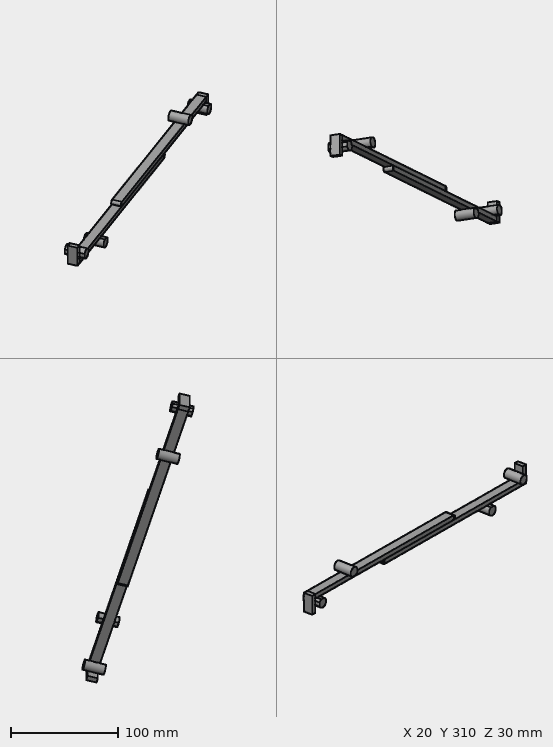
import cadquery as cq


overall_length = 310.0
overall_height = 30.0
bar_width = 10.0
bar_length = 200.0
roller_length = 20.0
roller_diameter = 10.0
roller_flat_depth = 0.5
middle_roller_from_end = 55.0

bar_thickness = bar_width / 2
plate_thickness = bar_thickness
plate_top = bar_thickness
plate_bottom = -overall_height / 2
tip_radius = bar_thickness / 2
arm_end = overall_length / 2
plate_inner_face = arm_end - plate_thickness
bar_free_end = plate_inner_face - bar_length
roller_radius = roller_diameter / 2
roller_seat = roller_radius - roller_flat_depth


def block(width, y_min, y_max, z_min, z_max):
    """Rectangular block centred on X = 0."""
    return cq.Workplane("XY").box(
        width, y_max - y_min, z_max - z_min
    ).translate((0, (y_min + y_max) / 2, (z_min + z_max) / 2))


def make_bar():
    """Long flat bar running from the end plate to the rounded tip."""
    return block(bar_width, bar_free_end, plate_inner_face, 0, bar_thickness)


def make_end_plate():
    """Upright plate that closes the outer end of the bar and hangs below it."""
    return block(bar_width, plate_inner_face, arm_end, plate_bottom, plate_top)


def make_tip():
    """Half-round nose on the free end of the bar."""
    return (
        cq.Workplane("YZ")
        .moveTo(bar_free_end, 0)
        .lineTo(bar_free_end, bar_thickness)
        .threePointArc(
            (bar_free_end - tip_radius, tip_radius),
            (bar_free_end, 0),
        )
        .close()
        .extrude(bar_width / 2, both=True)
    )


def make_roller(y, z):
    """Plain cylinder with its axis along X."""
    return (
        cq.Workplane("YZ")
        .center(y, z)
        .circle(roller_radius)
        .extrude(roller_length / 2, both=True)
    )


def make_middle_roller():
    """Roller on the outer face of the bar, with a flat where it rests."""
    axis_y = arm_end - middle_roller_from_end
    roller = make_roller(axis_y, bar_thickness + roller_seat)
    below_seat = block(
        roller_length,
        axis_y - roller_radius,
        axis_y + roller_radius,
        0,
        bar_thickness,
    )
    return roller.cut(below_seat)


def make_corner_roller():
    """Roller in the corner of bar and end plate, with a flat against each."""
    axis_y = plate_inner_face - roller_seat
    roller = make_roller(axis_y, -roller_seat)
    above_seat = block(roller_length, axis_y - roller_radius, arm_end, 0, bar_thickness)
    behind_seat = block(roller_length, plate_inner_face, arm_end, plate_bottom, 0)
    return roller.cut(above_seat).cut(behind_seat)


body_makers = [
    make_bar,
    make_end_plate,
    make_tip,
    make_middle_roller,
    make_corner_roller,
]

bodies = []
for arm_angle in (0, 180):
    for make_body in body_makers:
        body = make_body().rotate((0, 0, 0), (1, 0, 0), arm_angle)
        bodies.append(body.val())

result = cq.Compound.makeCompound(bodies)